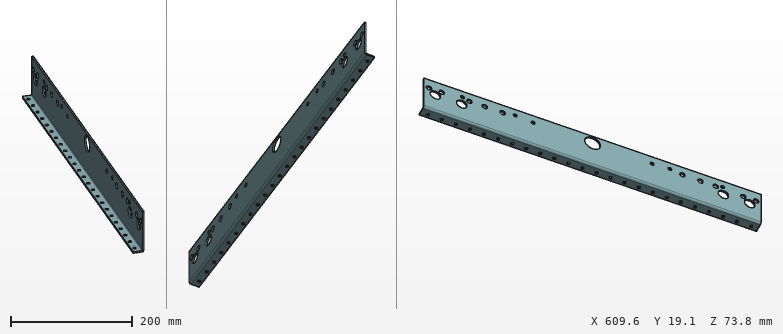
import cadquery as cq

length = 609.6
depth = 19.05
height = 73.79
thickness = 3.175
inner_bend_radius = 0.762
outer_bend_radius = inner_bend_radius + thickness

web_outer_y = depth / 2
flange_tip_y = -depth / 2

central_hole_diameter = 28.57
central_hole_z = 56.6

large_hole_diameter = 19.05
large_hole_z = 40.9
outer_large_hole_x = 284.0
inner_large_hole_x = 236.4

medium_hole_diameter = 9.65
ear_hole_offset = 11.5
ear_hole_z = 53.1
row_hole_xs = (162.5, 194.9, 222.5)
row_hole_z = 54.8

small_hole_diameter = 6.71
pin_hole_x = 107.5
pin_hole_z = 56.3
upper_hole_xs = (139.6, 235.2)
upper_hole_z = 58.9

flange_hole_diameter = 5.33
flange_hole_pitch = 25.4
flange_hole_count = 24
flange_hole_setback = 6.35


def bent_angle():
    """Constant-thickness L section with a rounded bend, extruded along X."""
    envelope = cq.Workplane("XY").box(length, depth, height, centered=(True, True, False))
    blank = envelope.edges("|X").edges(">Y and <Z").fillet(outer_bend_radius)
    inside = envelope.edges("|X").edges(">Y and <Z").fillet(inner_bend_radius)
    return blank.cut(inside.translate((0, -thickness, thickness)))


def web_holes(diameter, centres):
    """Cylinders running through the web along Y at the given (x, z) centres."""
    plane = cq.Workplane("XZ", origin=(0, web_outer_y, 0))
    return plane.pushPoints(centres).circle(diameter / 2).extrude(thickness)


def both_sides(xs, z):
    """Centres at +x and -x for every x, all at height z."""
    return [(side * x, z) for x in xs for side in (-1, 1)]


def flange_holes():
    """Evenly spaced cylinders running through the flange along Z."""
    row = cq.Workplane("XY", origin=(0, flange_tip_y + flange_hole_setback, 0))
    return (
        row.rarray(flange_hole_pitch, 1, flange_hole_count, 1)
        .circle(flange_hole_diameter / 2)
        .extrude(thickness)
    )


ear_hole_xs = (outer_large_hole_x - ear_hole_offset, outer_large_hole_x + ear_hole_offset)

large_centres = both_sides((inner_large_hole_x, outer_large_hole_x), large_hole_z)
medium_centres = both_sides(ear_hole_xs, ear_hole_z) + both_sides(row_hole_xs, row_hole_z)
small_centres = both_sides((pin_hole_x,), pin_hole_z) + both_sides(upper_hole_xs, upper_hole_z)

result = bent_angle()
result = result.cut(web_holes(central_hole_diameter, [(0, central_hole_z)]))
result = result.cut(web_holes(large_hole_diameter, large_centres))
result = result.cut(web_holes(medium_hole_diameter, medium_centres))
result = result.cut(web_holes(small_hole_diameter, small_centres))
result = result.cut(flange_holes())